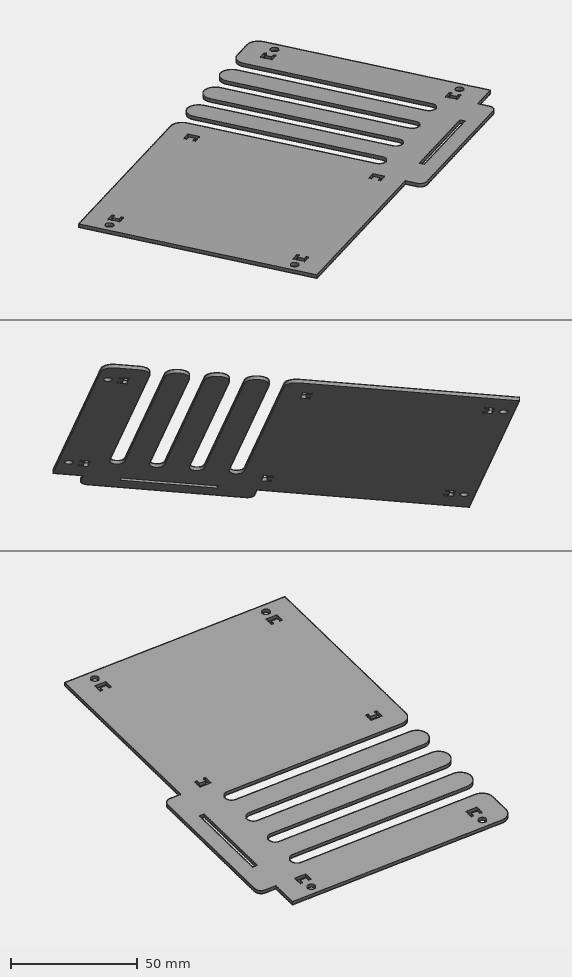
import cadquery as cq
import math

thickness = 1.6
plate_width = 103.0
plate_length = 167.31
corner_radius = 5.0

tab_reach = 8.0
tab_length = 69.85
tab_top_offset = 12.2
tab_corner_radius = 3.0
tab_center_y = plate_length - tab_top_offset - tab_length / 2

window_width = 2.1
window_length = 39.0
window_left = 102.1
window_shift = 0.3
window_center_y = tab_center_y + window_shift

slot_count = 4
slot_width = 6.0
slot_pitch = 16.0
slot_depth = 89.5
first_slot_offset = 22.62
finger_width = slot_pitch - slot_width
finger_tip_radius = finger_width / 2

hole_diameter = 3.4
hole_edge_offset = 4.2
column_spacing = 80.0
column_xs = [(plate_width + side * column_spacing) / 2 for side in (-1, 1)]

cut_width = 5.0
cut_length = 3.9
tongue_width = 3.0
tongue_clearance = 2.0
tongue_length = cut_length - tongue_clearance
top_cut_offset = 12.25
top_cut_edge_y = plate_length - top_cut_offset
middle_cut_edge_y = 85.35
bottom_cut_edge_y = 8.25


def block(width, length, center_x, center_y):
    """Full-thickness block centred at the given place."""
    solid = cq.Workplane("XY").box(width, length, thickness, centered=(True, True, False))
    return solid.translate((center_x, center_y, 0))


def plate_with_tab():
    """Plate and tab, before any cuts; the tab block overlaps the plate by its own reach."""
    plate = block(plate_width, plate_length, plate_width / 2, plate_length / 2)
    plate = plate.edges("|Z").edges("<X and >Y").fillet(corner_radius)
    tab = block(2 * tab_reach, tab_length, plate_width, tab_center_y)
    tab = tab.edges("|Z").edges(">X").fillet(tab_corner_radius)
    return plate.union(tab)


def finger_slot(center_y):
    """Slot from the left edge, round at its inner end and flared at its mouth by the finger tips."""
    half_width = slot_width / 2
    mouth_half_width = half_width + finger_tip_radius
    lower_y = center_y - half_width
    upper_y = center_y + half_width
    round_start_x = slot_depth - half_width
    bulge = finger_tip_radius * (1 - math.sqrt(0.5))
    return (
        cq.Workplane("XY")
        .moveTo(0, center_y - mouth_half_width)
        .threePointArc((bulge, lower_y - bulge), (finger_tip_radius, lower_y))
        .lineTo(round_start_x, lower_y)
        .threePointArc((slot_depth, center_y), (round_start_x, upper_y))
        .lineTo(finger_tip_radius, upper_y)
        .threePointArc((bulge, upper_y + bulge), (0, center_y + mouth_half_width))
        .close()
        .extrude(thickness)
    )


def tongue_cut(center_x, edge_y, tip_direction):
    """U-shaped cut with its closed side at edge_y; the tongue's free end points along Y by tip_direction."""
    root_y = edge_y - tip_direction * cut_length
    opening = block(cut_width, cut_length, center_x, (edge_y + root_y) / 2)
    tongue_center_y = root_y + tip_direction * tongue_length / 2
    return opening.cut(block(tongue_width, tongue_length, center_x, tongue_center_y))


def mounting_hole(center_x, center_y):
    """Round hole through the plate."""
    return cq.Workplane("XY").center(center_x, center_y).circle(hole_diameter / 2).extrude(thickness)


def finger_slots():
    """All the slots, stepping down from the top edge."""
    first_slot_y = plate_length - first_slot_offset
    return [finger_slot(first_slot_y - index * slot_pitch) for index in range(slot_count)]


def column_cuts(column_x):
    """Tongue cuts and mounting holes of one column."""
    return [
        tongue_cut(column_x, top_cut_edge_y, -1),
        tongue_cut(column_x, middle_cut_edge_y, 1),
        tongue_cut(column_x, bottom_cut_edge_y, -1),
        mounting_hole(column_x, plate_length - hole_edge_offset),
        mounting_hole(column_x, hole_edge_offset),
    ]


cuts = finger_slots()
cuts.append(block(window_width, window_length, window_left + window_width / 2, window_center_y))
for column_x in column_xs:
    cuts.extend(column_cuts(column_x))

result = plate_with_tab()
for cut in cuts:
    result = result.cut(cut)